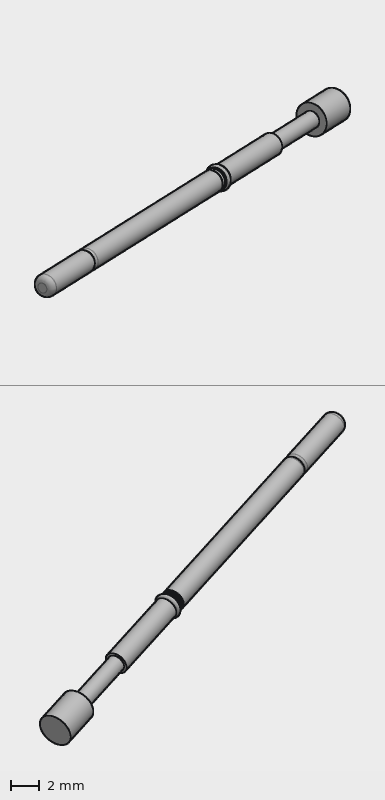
import cadquery as cq

total_length = 37.0
head_face_y = total_length / 2

head_radius = 1.25
head_length = 3.0
stem_diameter = 1.3
barrel_radius = 0.85
barrel_start = 8.0
groove_floor_radius = 0.75

collar_crest_radius = 1.0
collar_start = 14.5
collar_end = 15.02

bead_start = 15.2
bead_end = 15.4
neck_end = 15.5

crimp_center = 31.5
crimp_half_width = 0.22

tail_rounding = 0.48


def rod(radius, start, end):
    """Cylinder along Y between two stations."""
    face = cq.Workplane("XZ", origin=(0, head_face_y - start, 0))
    return face.circle(radius).extrude(end - start)


def at(radius, station):
    """Point of the half section in the XY plane."""
    return (radius, head_face_y - station)


def spin(section):
    """Close a half section and revolve it about the Y axis."""
    return section.close().revolve(360, (0, 0, 0), (0, 1, 0))


def flank_radius(width):
    """Radius of the arc that drops from the barrel surface to the groove floor within this width."""
    depth = barrel_radius - groove_floor_radius
    return (width**2 + depth**2) / (2 * depth)


def make_barrel():
    """Long tube with its tail end rounded."""
    barrel = rod(barrel_radius, barrel_start, total_length)
    return barrel.faces("<Y").edges().fillet(tail_rounding)


def make_collar():
    """Press ring with a fully rounded rim."""
    collar_middle = (collar_start + collar_end) / 2
    return spin(
        cq.Workplane("XY")
        .moveTo(*at(0, collar_start))
        .lineTo(*at(groove_floor_radius, collar_start))
        .threePointArc(at(collar_crest_radius, collar_middle), at(groove_floor_radius, collar_end))
        .lineTo(*at(0, collar_end))
    )


def make_neck_cutter():
    """Two grooves behind the collar, parted by a narrow bead whose tail side is rounded."""
    return spin(
        cq.Workplane("XY")
        .moveTo(*at(collar_crest_radius, collar_end))
        .lineTo(*at(groove_floor_radius, collar_end))
        .lineTo(*at(groove_floor_radius, bead_start))
        .lineTo(*at(barrel_radius, bead_start))
        .radiusArc(at(groove_floor_radius, bead_end), flank_radius(bead_end - bead_start))
        .lineTo(*at(groove_floor_radius, neck_end))
        .lineTo(*at(collar_crest_radius, neck_end))
    )


def make_crimp_cutter():
    """Groove whose two convex flanks leave the barrel tangentially and meet in a sharp valley."""
    crimp_start = crimp_center - crimp_half_width
    crimp_end = crimp_center + crimp_half_width
    radius = flank_radius(crimp_half_width)
    return spin(
        cq.Workplane("XY")
        .moveTo(*at(barrel_radius, crimp_start))
        .radiusArc(at(groove_floor_radius, crimp_center), radius)
        .radiusArc(at(barrel_radius, crimp_end), radius)
        .lineTo(*at(collar_crest_radius, crimp_end))
        .lineTo(*at(collar_crest_radius, crimp_start))
    )


head = rod(head_radius, 0, head_length)
stem = rod(stem_diameter / 2, head_length, barrel_start)
barrel = make_barrel().union(make_collar()).cut(make_neck_cutter()).cut(make_crimp_cutter())

result = head.union(stem).union(barrel)